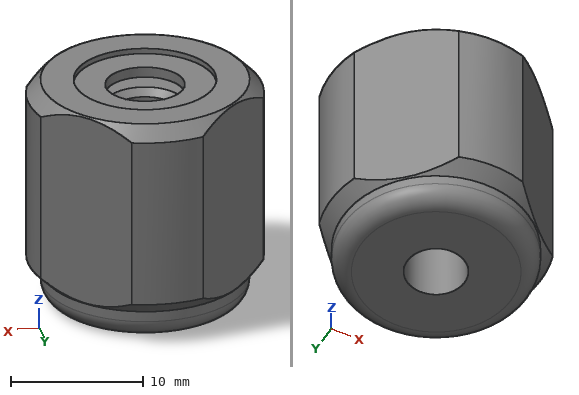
import cadquery as cq

height = 18.0
housing_diameter = 18.0
across_flats = 16.0
flat_count = 4
first_flat_angle = 45.0

end_face_diameter = 15.8
end_chamfer = (housing_diameter - end_face_diameter) / 2
bore_diameter = 10.8

flange_height = 2.3
flange_diameter = end_face_diameter
flange_fillet = 1.5
through_hole_diameter = 4.9
hole_mouth_diameter = 6.01
hole_mouth_chamfer = (hole_mouth_diameter - through_hole_diameter) / 2

disc_recess = 0.43
disc_thickness = 0.83
disc_hole_diameter = hole_mouth_diameter
disc_gap = 0.83
disc_bottom = height - disc_recess - disc_thickness
plug_top = disc_bottom - disc_gap


def cylinder(diameter, bottom, top):
    """Solid round bar on the Z axis between two heights."""
    return cq.Workplane("XY").workplane(offset=bottom).circle(diameter / 2).extrude(top - bottom)


def make_housing():
    """Chamfered round bar with four flats and a bore right through it."""
    body = cylinder(housing_diameter, flange_height, height)
    body = body.faces("<Z or >Z").chamfer(end_chamfer)

    cutter_depth = housing_diameter / 2
    for index in range(flat_count):
        cutter = (
            cq.Workplane("XY")
            .box(cutter_depth, housing_diameter, height, centered=(False, True, False))
            .translate((across_flats / 2, 0, 0))
            .rotate((0, 0, 0), (0, 0, 1), first_flat_angle + index * 360 / flat_count)
        )
        body = body.cut(cutter)

    return body.cut(cylinder(bore_diameter, flange_height, height))


def make_base():
    """Rounded flange with a plug that fills the bore, and a chamfered through hole."""
    flange = cylinder(flange_diameter, 0, flange_height).faces("<Z").edges().fillet(flange_fillet)
    body = flange.union(cylinder(bore_diameter, flange_height, plug_top))
    body = body.cut(cylinder(through_hole_diameter, 0, plug_top))
    hole_mouth = cq.selectors.RadiusNthSelector(0)
    return body.faces(">Z").edges(hole_mouth).chamfer(hole_mouth_chamfer)


def make_disc():
    """Flat ring set slightly below the top face of the housing."""
    ring = cylinder(bore_diameter, disc_bottom, disc_bottom + disc_thickness)
    return ring.cut(cylinder(disc_hole_diameter, disc_bottom, disc_bottom + disc_thickness))


housing = make_housing()
base = make_base()
disc = make_disc()

result = cq.Compound.makeCompound([housing.val(), base.val(), disc.val()])